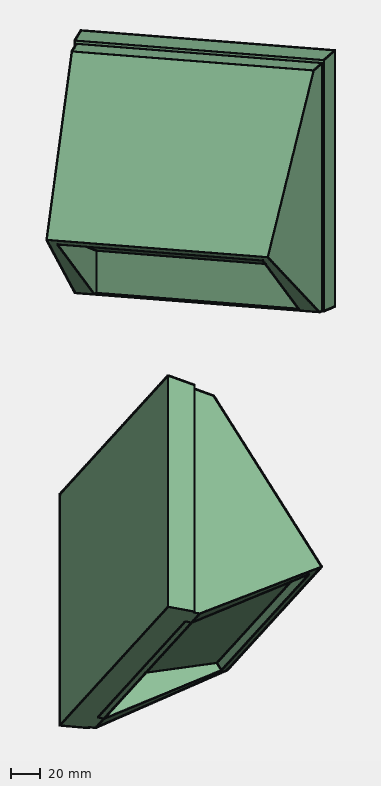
import math
import cadquery as cq

base_size = 179.5
total_depth = 119.0
draft = math.tan(math.radians(5.0))

base_depth = 20.5
side_ledge = 1.2
top_ledge = 2.17

top_corner_depth = 35.7
bottom_corner_depth = 25.0
nose_z = -25.4

window_width = 145.0
window_top_z = -30.0
window_bottom_z = -87.5
cavity_roof_z = -58.0
lip_thickness = 6.0


def half_size(depth):
    """Half the drafted square section at a given depth."""
    return base_size / 2 - depth * draft


def section(depth, side_inset, top_inset):
    """Rectangular outline at a depth, set in from the drafted square at its sides and top."""
    half_width = half_size(depth) - side_inset
    top = half_size(depth) - top_inset
    bottom = -half_size(depth)
    corners = [
        cq.Vector(-half_width, -depth, bottom),
        cq.Vector(half_width, -depth, bottom),
        cq.Vector(half_width, -depth, top),
        cq.Vector(-half_width, -depth, top),
    ]
    return cq.Wire.makePolygon(corners, close=True)


def drafted_block(start, end, side_inset=0.0, top_inset=0.0):
    """Frustum with flat tapered sides between two depths."""
    outlines = [section(depth, side_inset, top_inset) for depth in (start, end)]
    return cq.Workplane(cq.Solid.makeLoft(outlines, True))


def side_prism(points, width):
    """Prism centred on X from a list of (depth, z) profile points."""
    profile = [(-depth, z) for depth, z in points]
    return cq.Workplane("YZ").polyline(profile).close().extrude(width / 2, both=True)


bottom_corner_z = -half_size(bottom_corner_depth)
slope_run = total_depth - bottom_corner_depth
slope_rise = nose_z - bottom_corner_z


def lower_slope_depth(z):
    """Depth of the lower slope at height z."""
    return bottom_corner_depth + slope_run * (z - bottom_corner_z) / slope_rise


def hood():
    """Drafted block trimmed by the upper and lower slopes that meet at the nose."""
    top_corner_z = half_size(top_corner_depth) - top_ledge
    envelope = [
        (base_depth, base_size),
        (top_corner_depth, base_size),
        (top_corner_depth, top_corner_z),
        (total_depth, nose_z),
        (bottom_corner_depth, bottom_corner_z),
        (bottom_corner_depth, -base_size),
        (base_depth, -base_size),
    ]
    block = drafted_block(base_depth, total_depth, side_ledge, top_ledge)
    return block.intersect(side_prism(envelope, base_size))


def light_cavity():
    """Wedge cavity: upright back wall, sloping roof, and a lip square to the lower slope."""
    slope_length = math.hypot(slope_run, slope_rise)
    window_top_depth = lower_slope_depth(window_top_z)
    lip_inner_depth = window_top_depth - lip_thickness * slope_rise / slope_length
    lip_inner_z = window_top_z + lip_thickness * slope_run / slope_length
    profile = [
        (base_depth, window_bottom_z),
        (base_depth, cavity_roof_z),
        (lip_inner_depth, lip_inner_z),
        (window_top_depth, window_top_z),
        (total_depth, window_bottom_z),
    ]
    return side_prism(profile, window_width)


base = drafted_block(0.0, base_depth)
result = base.union(hood()).cut(light_cavity())